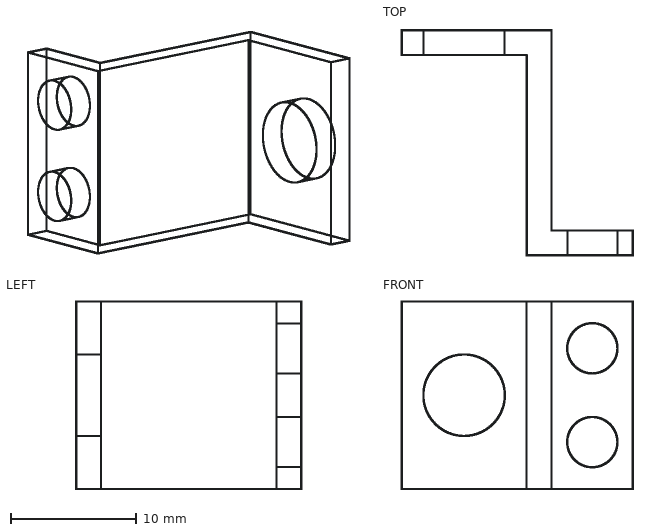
import cadquery as cq

height = 15.0
depth = 18.0
thickness = 2.0
left_flange_length = 10.0
right_flange_length = 6.5

large_hole_diameter = 6.5
small_hole_diameter = 4.0
small_hole_spacing = height / 2

web_right = left_flange_length + thickness
width = web_right + right_flange_length
large_hole_x = left_flange_length / 2
small_hole_x = web_right + right_flange_length / 2
mid_height = height / 2


def bracket_body():
    """Z profile in the XY plane, extruded upward."""
    outline = [
        (left_flange_length, 0),
        (width, 0),
        (width, thickness),
        (web_right, thickness),
        (web_right, depth),
        (0, depth),
        (0, depth - thickness),
        (left_flange_length, depth - thickness),
    ]
    return cq.Workplane("XY").polyline(outline).close().extrude(height)


def flange_hole(x, front_y, z, diameter):
    """Cutter along Y through a flange whose front face lies at front_y."""
    return (
        cq.Workplane("XZ", origin=(x, front_y, z))
        .circle(diameter / 2)
        .extrude(-thickness)
    )


result = bracket_body().cut(
    flange_hole(large_hole_x, depth - thickness, mid_height, large_hole_diameter)
)
for side in (-1, 1):
    small_hole_z = mid_height + side * small_hole_spacing / 2
    result = result.cut(flange_hole(small_hole_x, 0, small_hole_z, small_hole_diameter))